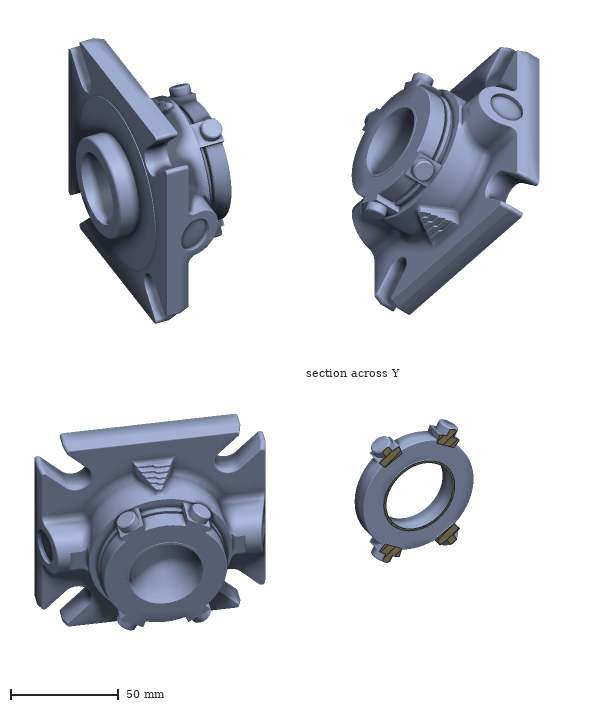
import cadquery as cq
import math


flange_side = 108.0
flange_edge_height = 7.0
flange_height = 12.0
draft_angle = 15.0
edge_round = 0.6
edge_tolerance = 0.01
spigot_diameter = 83.5
spigot_height = 0.3

slot_width = 13.9
slot_center_offset = 36.2
slot_tip_radius = 1.5

housing_diameter = 67.4
housing_top = 31.6
blend_radius = 3.6
boss_radius = 12.1
boss_centers = ((-1, 18.9), (1, 17.2))
boss_flat_drop = 1.1
boss_flat_ends = {-1: 40.3, 1: 42.1}
recess_diameter = 16.7
recess_depth = 2.2
recess_offset = 1.6

step_count = 5
step_height = 3.0
step_advance = 1.0
rib_top = 28.0
rib_first_reach = 36.8
rib_tip_half_width = 1.1
rib_foot_half_width = 9.3
step_jog = 1.4
rib_blend = 1.9
rib_tip_round = 1.0

bore_diameter = 35.0
hub_diameter = 49.1
hub_length = 10.5
hub_round = 1.4
sleeve_diameter = 37.4
unit_length = 55.7
sleeve_top = unit_length - hub_length

collar_diameter = 58.2
collar_bottom = 36.1
collar_top = 44.9
collar_chamfer = 0.3
seal_top = 34.8
flinger_diameter = 59.7
flinger_bottom = 32.8
flinger_chamfer = 0.6

screw_angles = (60, 120, 240, 300)
pad_width = 12.3
pad_inner = 27.2
pad_side_angle = 12.0
pad_flat = 31.8
pad_diameter = 64.8
pad_step_bottom = 35.0
screw_diameter = 9.9
screw_tip_radius = 36.3
screw_height = collar_top - screw_diameter / 2
screw_chamfer = 0.5


def plane_at(height):
    """Workplane normal to the bearing axis; negative extrusion goes toward +Y."""
    return cq.Workplane("XZ", origin=(0, height, 0))


def disc(diameter, bottom, top):
    return plane_at(bottom).circle(diameter / 2).extrude(bottom - top)


def turned(solid, angle):
    """Solid turned about the bearing axis."""
    return solid.rotate((0, 0, 0), (0, 1, 0), angle)


def chosen_edges(body, is_wanted):
    """Body with the edges that pass the given test selected."""
    return body.newObject([edge for edge in body.edges().vals() if is_wanted(edge)])


def drafted_block(top):
    """Square block with straight edges below and drafted sides above."""
    base = plane_at(0).rect(flange_side, flange_side).extrude(-flange_edge_height)
    upper = (
        plane_at(flange_edge_height)
        .rect(flange_side, flange_side)
        .extrude(flange_edge_height - top, taper=draft_angle)
    )
    return base.union(upper)


def blended_housing():
    """Oversize plate, housing and bosses with rounded inner corners, trimmed to the drafted shape."""
    oversize = flange_side + 2 * housing_top
    boss_root = math.sqrt((housing_diameter / 2) ** 2 - boss_radius**2) - edge_tolerance
    solid = plane_at(0).rect(oversize, oversize).extrude(-flange_height)
    solid = solid.union(turned(disc(housing_diameter, 0, housing_top + 2 * blend_radius), 90))
    for side, center_height in boss_centers:
        boss = (
            cq.Workplane("YZ")
            .moveTo(0, -boss_radius)
            .lineTo(center_height, -boss_radius)
            .threePointArc((center_height + boss_radius, 0), (center_height, boss_radius))
            .lineTo(0, boss_radius)
            .close()
            .extrude(side * oversize / 2)
        )
        solid = solid.union(boss)

    def is_inner_corner(edge):
        center = edge.Center()
        box = edge.BoundingBox()
        on_housing_wall = boss_root < abs(center.x) < housing_diameter / 2 + edge_tolerance
        on_plate = abs(box.ymin - flange_height) < edge_tolerance and box.ymax - box.ymin < edge_tolerance
        above_plate = box.ymin > flange_height - edge_tolerance
        inside = max(abs(center.x), abs(center.z)) < oversize / 2 - edge_tolerance
        return above_plate and inside and (on_plate or on_housing_wall)

    solid = chosen_edges(solid, is_inner_corner).fillet(blend_radius)
    return solid.intersect(drafted_block(housing_top))


def cut_slots(body):
    slot_length = flange_side / 2
    slot = (
        plane_at(0)
        .center(slot_length / 2, 0)
        .rect(slot_length, slot_width)
        .extrude(-flange_height - blend_radius)
        .union(disc(slot_width, 0, flange_height + blend_radius))
        .translate((slot_center_offset * math.sqrt(2), 0, 0))
    )
    for angle in (45, 135, 225, 315):
        body = body.cut(turned(slot, angle))

    def is_slot_tip(edge):
        center = edge.Center()
        near, far = sorted((abs(center.x), abs(center.z)))
        outside_slot_ends = far > slot_center_offset * math.sqrt(2)
        beside_slot = near > slot_center_offset
        runs_upward = abs(edge.tangentAt(0.5).y) > math.cos(math.radians(45))
        return outside_slot_ends and beside_slot and runs_upward

    return chosen_edges(body, is_slot_tip).fillet(slot_tip_radius)


def round_rim(body):
    """Round the upper outline of the flange and the end outlines of the bosses."""
    boss_end = flange_side / 2 - (housing_top - flange_edge_height) * math.tan(math.radians(draft_angle))

    def is_rim(edge):
        center = edge.Center()
        box = edge.BoundingBox()
        near, far = sorted((abs(center.x), abs(center.z)))
        on_top = box.ymin > flange_height - edge_tolerance
        on_side = far > boss_end
        beside_slot = near > slot_center_offset - slot_width / 2
        return on_top and (on_side or beside_slot)

    return chosen_edges(body, is_rim).fillet(edge_round)


def rib_prism():
    """Triangular rib on the +Z side of the housing, before its steps are cut."""
    return (
        cq.Workplane("XY")
        .moveTo(-rib_foot_half_width, flange_height)
        .lineTo(rib_foot_half_width, flange_height)
        .lineTo(rib_tip_half_width, rib_top)
        .lineTo(-rib_tip_half_width, rib_top)
        .close()
        .extrude(rib_first_reach + (step_count - 1) * step_advance)
        .edges("|Z and >Y")
        .fillet(rib_tip_round)
    )


def step_cutter(step):
    """Material removed above one step, with the step edge jogged at the rib center."""
    left_edge = rib_top - step * step_height
    right_edge = left_edge - step_jog
    half_width = rib_foot_half_width + rib_blend
    return (
        cq.Workplane("XY", origin=(0, 0, rib_first_reach + (step - 1) * step_advance))
        .moveTo(-half_width, left_edge)
        .lineTo(-step_jog / 2, left_edge)
        .lineTo(step_jog / 2, right_edge)
        .lineTo(half_width, right_edge)
        .lineTo(half_width, rib_top + step_height)
        .lineTo(-half_width, rib_top + step_height)
        .close()
        .extrude(step_count * step_advance)
    )


def cut_boss_details(body):
    for side, center_height in boss_centers:
        flat_end = boss_flat_ends[side]
        flat_start = housing_diameter / 2
        flat_level = center_height + boss_radius - boss_flat_drop
        flat = cq.Workplane("XY").box(
            flat_end - flat_start, housing_top, 2 * boss_radius, centered=(True, False, True)
        )
        body = body.cut(flat.translate((side * (flat_start + flat_end) / 2, flat_level, 0)))
        recess_height = center_height - recess_offset
        draft = math.radians(draft_angle)
        face_x = flange_side / 2 - (recess_height - flange_edge_height) * math.tan(draft)
        recess = cq.Solid.makeCylinder(
            recess_diameter / 2,
            2 * recess_depth,
            cq.Vector(
                side * (face_x - recess_depth * math.cos(draft)),
                recess_height - recess_depth * math.sin(draft),
                0,
            ),
            cq.Vector(side * math.cos(draft), math.sin(draft), 0),
        )
        body = body.cut(cq.Workplane(recess))
    return body


def bearing_insert():
    hub = disc(hub_diameter, -hub_length, 0).faces("<Y").edges().fillet(hub_round)
    spigot = disc(spigot_diameter, -spigot_height, 0)
    sleeve = disc(sleeve_diameter, 0, sleeve_top)
    seal = disc(collar_diameter, 0, seal_top)
    flinger = disc(flinger_diameter, flinger_bottom, seal_top).edges().chamfer(flinger_chamfer)
    collar = disc(collar_diameter, collar_bottom, collar_top).edges().chamfer(collar_chamfer)
    insert = hub
    for part in (spigot, sleeve, seal, flinger, collar):
        insert = insert.union(part)
    return insert


def set_screw():
    """Pad and set screw pointing along +X; the pad is flat beside the collar and round below it."""
    pad_outer = pad_diameter / 2
    profile = (
        cq.Workplane("XY", origin=(0, 0, -pad_width))
        .moveTo(pad_inner, housing_top)
        .lineTo(pad_outer, housing_top)
        .lineTo(pad_outer, pad_step_bottom)
        .lineTo(pad_flat, collar_bottom)
        .lineTo(pad_flat, collar_top)
        .lineTo(pad_inner, collar_top)
        .close()
        .extrude(2 * pad_width)
        .intersect(disc(pad_diameter, housing_top, collar_top))
    )
    side_slope = math.tan(math.radians(pad_side_angle))
    inner_half_width = pad_width / 2 - (pad_flat - pad_inner) * side_slope
    outer_half_width = pad_width / 2 + (pad_outer - pad_flat) * side_slope
    wedge = (
        plane_at(housing_top)
        .moveTo(pad_inner, -inner_half_width)
        .lineTo(pad_outer, -outer_half_width)
        .lineTo(pad_outer, outer_half_width)
        .lineTo(pad_inner, inner_half_width)
        .close()
        .extrude(housing_top - collar_top)
    )
    pad = profile.intersect(wedge)
    screw = (
        cq.Workplane("YZ", origin=(pad_inner, screw_height, 0))
        .circle(screw_diameter / 2)
        .extrude(screw_tip_radius - pad_inner)
        .faces(">X")
        .chamfer(screw_chamfer)
    )
    return pad.union(screw)


def add_rib(body, turn):
    """Join a stepped rib on the side that faces +Z after the given turn about the axis."""
    body = turned(body, turn).union(rib_prism())

    def is_junction(edge):
        center = edge.Center()
        box = edge.BoundingBox()
        on_rib = max(abs(box.xmin), abs(box.xmax)) < rib_foot_half_width + edge_tolerance and center.z > 0
        on_plate = box.ymax < flange_height + edge_tolerance and box.ymin > flange_height - edge_tolerance
        on_housing = box.ymin > flange_height - edge_tolerance and box.zmax < rib_first_reach
        return on_rib and (on_plate or on_housing)

    body = chosen_edges(body, is_junction).fillet(rib_blend)
    for step in range(1, step_count):
        body = body.cut(step_cutter(step))
    return turned(body, -turn)


result = round_rim(cut_slots(blended_housing()))
for turn in (0, 180):
    result = add_rib(result, turn)
result = cut_boss_details(result)
result = result.union(bearing_insert())
for angle in screw_angles:
    result = result.union(turned(set_screw(), angle))
result = result.cut(disc(bore_diameter, -hub_length, sleeve_top))